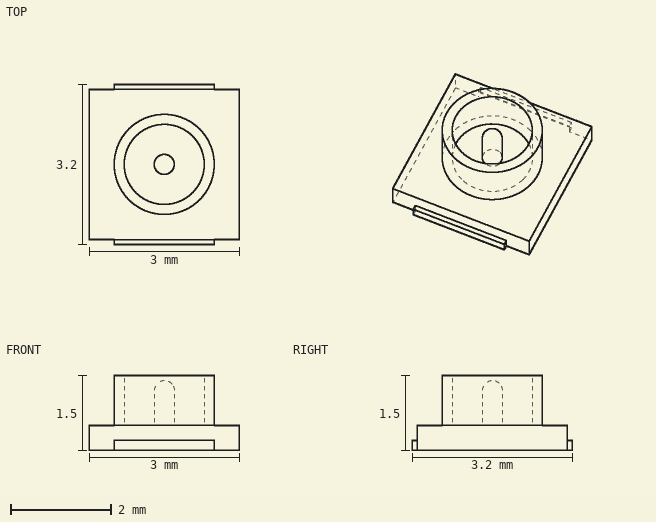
import cadquery as cq

BASE_SIDE = 3.0
BASE_HEIGHT = 0.5

TAB_WIDTH = 2.0
TAB_REACH = 0.1
TAB_HEIGHT = 0.2

SHELL_OUTER_DIAMETER = 2.0
SHELL_INNER_DIAMETER = 1.6
SHELL_HEIGHT = 1.0

PIN_DIAMETER = 0.4
PIN_HEIGHT = 0.9


def make_base():
    return cq.Workplane("XY").box(BASE_SIDE, BASE_SIDE, BASE_HEIGHT, centered=(True, True, False))


def make_tabs():
    """One bar through the base whose two ends stick out as the tabs."""
    length = BASE_SIDE + 2 * TAB_REACH
    return cq.Workplane("XY").box(TAB_WIDTH, length, TAB_HEIGHT, centered=(True, True, False))


def make_shell():
    return (
        cq.Workplane("XY", origin=(0, 0, BASE_HEIGHT))
        .circle(SHELL_OUTER_DIAMETER / 2)
        .circle(SHELL_INNER_DIAMETER / 2)
        .extrude(SHELL_HEIGHT)
    )


def make_pin():
    radius = PIN_DIAMETER / 2
    shaft_height = PIN_HEIGHT - radius
    shaft = cq.Workplane("XY", origin=(0, 0, BASE_HEIGHT)).circle(radius).extrude(shaft_height)
    tip = cq.Workplane("XY", origin=(0, 0, BASE_HEIGHT + shaft_height)).sphere(radius)
    return shaft.union(tip)


result = make_base().union(make_tabs()).union(make_shell()).union(make_pin())